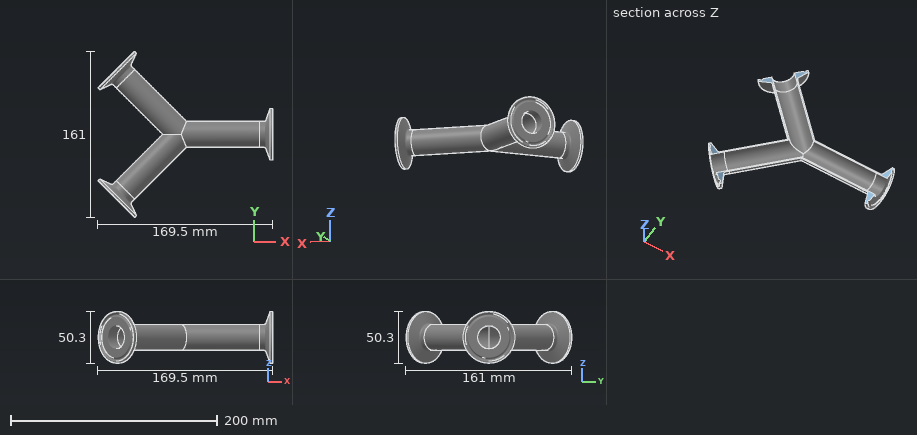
import cadquery as cq
import math

overall_length = 169.5
branch_angle = 135.0
arm_angles = [0.0, branch_angle, -branch_angle]

tube_radius = 25.4 / 2
bore_radius = 22.0 / 2

ferrule_length = 12.7
flange_radius = 50.3 / 2
rim_thickness = 2.7
rim_fillet = 0.5
cone_angle = 20.0
neck_fillet = 1.7
mouth_fillet = 0.3

groove_radius = 21.7
groove_half_width = 1.4
groove_depth = 1.4
groove_edge_fillet = 0.7

slant = math.radians(180.0 - branch_angle)
rim_reach = (
    (flange_radius - rim_fillet) * math.sin(slant)
    - rim_fillet * math.cos(slant)
    + rim_fillet
)
arm_length = (overall_length - rim_reach) / (1 + math.cos(slant))
tube_end = arm_length - ferrule_length


def place_on_arm(body, angle):
    """Turn a body built along +X about the Z axis onto its arm."""
    return body.rotate((0, 0, 0), (0, 0, 1), angle)


def make_sector(start_angle, end_angle):
    """Wedge from the junction centre, bounded by the mitre planes of one arm."""
    reach = 2 * arm_length
    corners = [
        (reach * math.cos(math.radians(angle)), reach * math.sin(math.radians(angle)))
        for angle in (start_angle, (start_angle + end_angle) / 2, end_angle)
    ]
    return (
        cq.Workplane("XY", origin=(0, 0, -flange_radius))
        .polyline([(0, 0)] + corners)
        .close()
        .extrude(2 * flange_radius)
    )


def make_tube(index):
    """Tube of one arm, mitred against its two neighbours at the junction."""
    angle = arm_angles[index]
    next_angle = arm_angles[(index + 1) % len(arm_angles)]
    previous_angle = arm_angles[index - 1]
    start_angle = angle - ((angle - previous_angle) % 360) / 2
    end_angle = angle + ((next_angle - angle) % 360) / 2

    overrun = 2 * flange_radius
    tube = (
        cq.Workplane("YZ", origin=(-overrun, 0, 0))
        .circle(tube_radius)
        .circle(bore_radius)
        .extrude(overrun + tube_end)
    )
    return place_on_arm(tube, angle).intersect(make_sector(start_angle, end_angle))


def make_groove_cutter():
    """Ring of circular-arc section, sunk into the ferrule face."""
    return (
        cq.Workplane("XY")
        .moveTo(arm_length, groove_radius - groove_half_width)
        .threePointArc(
            (arm_length - groove_depth, groove_radius),
            (arm_length, groove_radius + groove_half_width),
        )
        .close()
        .revolve(360, (0, 0, 0), (1, 0, 0))
    )


def rings_up_to(x, radius):
    """Selector for the circular edges at the given X, up to the given radius."""
    margin = 0.02
    return cq.selectors.BoxSelector(
        (x - margin, -radius - margin, -radius - margin),
        (x + margin, radius + margin, radius + margin),
        boundingbox=True,
    )


def make_ferrule(angle):
    """Clamp ferrule with a conical back, rounded rim and mouth edges, and a gasket groove."""
    rim_back = arm_length - rim_thickness
    cone_length = (flange_radius - tube_radius) * math.tan(math.radians(cone_angle))
    neck_end = rim_back - cone_length
    blank = (
        cq.Workplane("XY")
        .polyline(
            [
                (tube_end, bore_radius),
                (tube_end, tube_radius),
                (neck_end, tube_radius),
                (rim_back, flange_radius),
                (arm_length, flange_radius),
                (arm_length, bore_radius),
            ]
        )
        .close()
        .revolve(360, (0, 0, 0), (1, 0, 0))
    )

    ferrule = (
        blank.edges(rings_up_to(neck_end, tube_radius))
        .fillet(neck_fillet)
        .edges(rings_up_to(arm_length, flange_radius) - rings_up_to(arm_length, bore_radius))
        .fillet(rim_fillet)
        .edges(rings_up_to(arm_length, bore_radius))
        .fillet(mouth_fillet)
        .cut(make_groove_cutter())
    )
    groove_outer = groove_radius + groove_half_width
    mouth_edge = rings_up_to(arm_length, bore_radius + mouth_fillet)
    groove_edges = rings_up_to(arm_length, groove_outer) - mouth_edge
    ferrule = ferrule.edges(groove_edges).fillet(groove_edge_fillet)
    return place_on_arm(ferrule, angle)


tubes = [make_tube(index) for index in range(len(arm_angles))]
ferrules = [make_ferrule(angle) for angle in arm_angles]

result = cq.Compound.makeCompound([body.val() for body in tubes + ferrules])